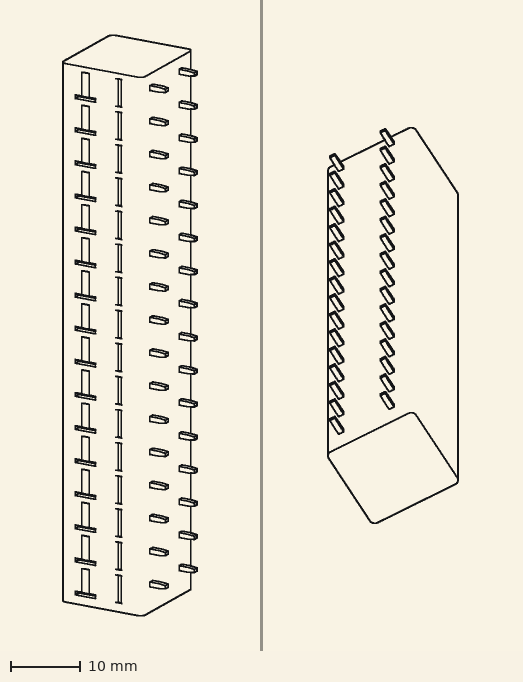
import cadquery as cq

HEIGHT = 81.4
DEPTH = 14.4
TOTAL_WIDTH = 16.0
PIN_LENGTH = 2.5
BODY_WIDTH = TOTAL_WIDTH - PIN_LENGTH
CORNER_RADIUS = 0.8

POLE_COUNT = 16
FIRST_POLE_BOTTOM = 1.4
POLE_PITCH = (HEIGHT - FIRST_POLE_BOTTOM) / POLE_COUNT

POLE_HEIGHT = 4.15

NOTCH_CENTER_X = 4.1
NOTCH_WIDTH = 3.3
NOTCH_HEIGHT = 0.6
NOTCH_DEPTH = 1.0

GROOVE_WIDTH = 1.2
GROOVE_DEPTH = 0.25

SLOT_CENTER_X = 9.6
SLOT_FLOOR_WIDTH = 0.5
SLOT_LIP_RADIUS = 0.25

PIN_WIDTH = 0.8
PIN_HEIGHT = 0.7
PIN_TIP_HEIGHT = 0.5
PIN_TIP_LENGTH = 1.0
PIN_ROWS_Y = (2.5, 10.8)
PIN_RISE = 2.85


def make_housing():
    box = cq.Workplane("XY").box(BODY_WIDTH, DEPTH, HEIGHT, centered=False)
    return box.edges("|Z").fillet(CORNER_RADIUS)


def make_notch():
    """Wedge with a level floor and a roof sloping up to the front face."""
    return (
        cq.Workplane("YZ", origin=(NOTCH_CENTER_X - NOTCH_WIDTH / 2, 0, 0))
        .polyline([(0, 0), (NOTCH_DEPTH, 0), (0, NOTCH_HEIGHT)])
        .close()
        .extrude(NOTCH_WIDTH)
    )


def make_groove():
    half_width = GROOVE_WIDTH / 2
    return (
        cq.Workplane("XY", origin=(NOTCH_CENTER_X, 0, 0))
        .moveTo(-half_width, 0)
        .threePointArc((0, GROOVE_DEPTH), (half_width, 0))
        .close()
        .extrude(POLE_HEIGHT)
    )


def make_slot():
    half_floor = SLOT_FLOOR_WIDTH / 2
    half_mouth = half_floor + SLOT_LIP_RADIUS
    return (
        cq.Workplane("XY", origin=(SLOT_CENTER_X, 0, 0))
        .moveTo(-half_mouth, 0)
        .radiusArc((-half_floor, SLOT_LIP_RADIUS), -SLOT_LIP_RADIUS)
        .lineTo(half_floor, SLOT_LIP_RADIUS)
        .radiusArc((half_mouth, 0), -SLOT_LIP_RADIUS)
        .close()
        .extrude(POLE_HEIGHT)
    )


def make_pin(y):
    shank_length = PIN_LENGTH - PIN_TIP_LENGTH
    shank = (
        cq.Workplane("YZ", origin=(BODY_WIDTH, y, PIN_RISE))
        .rect(PIN_WIDTH, PIN_HEIGHT)
        .extrude(shank_length)
    )
    tip = (
        cq.Workplane("YZ", origin=(BODY_WIDTH + shank_length, y, PIN_RISE))
        .rect(PIN_WIDTH, PIN_HEIGHT)
        .workplane(offset=PIN_TIP_LENGTH)
        .rect(PIN_WIDTH, PIN_TIP_HEIGHT)
        .loft()
    )
    return shank.union(tip)


recesses = make_notch().union(make_groove()).union(make_slot())
pins = [make_pin(y) for y in PIN_ROWS_Y]

result = make_housing()
for pole in range(POLE_COUNT):
    rise = (0, 0, FIRST_POLE_BOTTOM + pole * POLE_PITCH)
    result = result.cut(recesses.translate(rise))
    for pin in pins:
        result = result.union(pin.translate(rise))